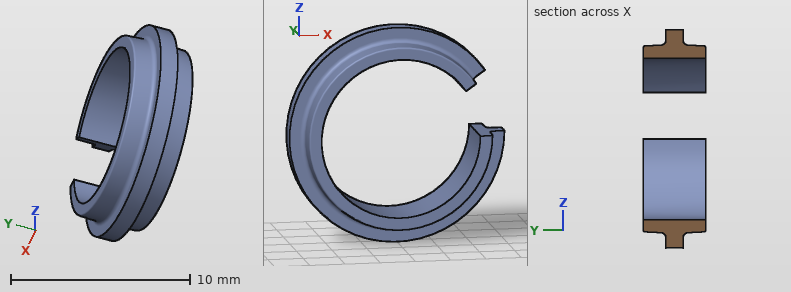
import cadquery as cq
import math

bore_radius = 4.5
flange_radius = 6.1
flange_width = 1.0
ring_width = 3.5
gap_angle = 35.0

sleeve_end_radius = 5.2
sleeve_taper = 3.0
root_fillet = 0.25
end_fillet = 0.1

half_width = ring_width / 2
half_flange = flange_width / 2
sleeve_length = half_width - half_flange
sleeve_root_radius = sleeve_end_radius + sleeve_length * math.tan(math.radians(sleeve_taper))


def make_split_ring():
    """Revolve the T-shaped section around Y, leaving the gap open."""
    section = (
        cq.Workplane("XY")
        .moveTo(bore_radius, -half_width)
        .lineTo(sleeve_end_radius, -half_width)
        .lineTo(sleeve_root_radius, -half_flange)
        .lineTo(flange_radius, -half_flange)
        .lineTo(flange_radius, half_flange)
        .lineTo(sleeve_root_radius, half_flange)
        .lineTo(sleeve_end_radius, half_width)
        .lineTo(bore_radius, half_width)
        .close()
    )
    return section.revolve(360 - gap_angle, (0, 0, 0), (0, 1, 0))


def circular_edges_at(ring, radius, y):
    """Select the arc of the given radius lying in the plane at height y."""
    margin = end_fillet / 2

    def matches(edge):
        return (
            edge.geomType() == "CIRCLE"
            and abs(edge.radius() - radius) < margin
            and abs(edge.Center().y - y) < margin
        )

    return ring.newObject([edge for edge in ring.edges().vals() if matches(edge)])


def round_sleeve(ring, side):
    """Fillet the flange root and the end edge on one side (-1 or +1 along Y)."""
    ring = circular_edges_at(ring, sleeve_root_radius, side * half_flange).fillet(root_fillet)
    return circular_edges_at(ring, sleeve_end_radius, side * half_width).fillet(end_fillet)


result = make_split_ring()
for side in (-1, 1):
    result = round_sleeve(result, side)